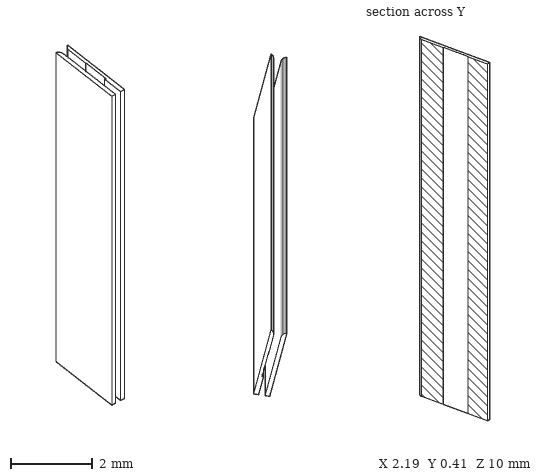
import cadquery as cq

length = 10.0
overall_width = 2.19
overall_depth = 0.41

front_thickness = 0.12
front_setback = 0.03
front_edge_land = 0.03
front_nose_steps = [(0.02, 0.06), (0.05, 0.09), (0.09, 0.11), (0.14, front_thickness)]

outer_band_thickness = 0.1
middle_band_thickness = 0.09
inner_band_thickness = 0.13
back_edge_land = 0.02
back_nose_steps = [(0.03, 0.05), (0.07, 0.08), (0.13, outer_band_thickness)]
middle_band_start = 0.81
middle_band_end = 1.57


def extrude_profile(points):
    """Extrude a closed XY outline along the full length of the strips."""
    return cq.Workplane("XY").polyline(points).close().extrude(length)


def make_front_strip():
    """Flat strip whose inner -X corner is rounded over by facets."""
    nose = [(front_setback + inward, rise) for inward, rise in front_nose_steps]
    return extrude_profile([
        (overall_width, front_thickness),
        (overall_width, 0),
        (front_setback, 0),
        (front_setback, front_edge_land),
        *nose,
    ])


def make_back_strip():
    """Strip with a faceted -X edge and a shallow middle band facing the front strip."""
    back_y = overall_depth
    outer_y = back_y - outer_band_thickness
    middle_y = back_y - middle_band_thickness
    inner_y = back_y - inner_band_thickness
    nose = [(inward, back_y - drop) for inward, drop in back_nose_steps]
    return extrude_profile([
        (overall_width, back_y),
        (0, back_y),
        (0, back_y - back_edge_land),
        *nose,
        (middle_band_start, outer_y),
        (middle_band_start, middle_y),
        (middle_band_end, middle_y),
        (middle_band_end, inner_y),
        (overall_width, inner_y),
    ])


front_strip = make_front_strip()
back_strip = make_back_strip()

result = cq.Compound.makeCompound([front_strip.val(), back_strip.val()])